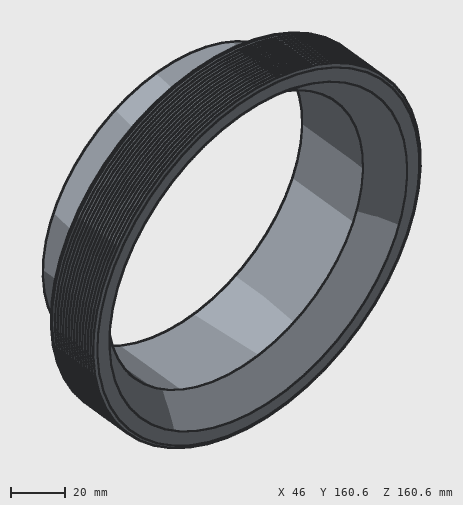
import cadquery as cq

length = 46.0
outer_radius = 80.3

bore_radius = 62.5
collar_radius = 64.5
collar_length = 18.0
collar_chamfer = 0.6

rim_start = 20.9
rim_edge_radius = 78.9
rim_lead_in = 1.1
rim_end_chamfer = 0.8

flare_length = 12.5
flare_depth = 10.5
flare_radius = bore_radius + flare_depth

thread_pitch = 1.5
thread_depth = 0.92
groove_count = 15
sleeve_clearance = 1.6
thread_length = groove_count * thread_pitch
thread_start = length - rim_end_chamfer - thread_length


def make_body():
    """Revolve the plain ring, without thread grooves."""
    profile = [
        (0, bore_radius),
        (0, collar_radius),
        (collar_length, collar_radius),
        (collar_length + collar_chamfer, collar_radius + collar_chamfer),
        (rim_start, rim_edge_radius),
        (rim_start + rim_lead_in, outer_radius),
        (length - rim_end_chamfer, outer_radius),
        (length, rim_edge_radius),
        (length, flare_radius),
        (length - flare_length, bore_radius),
    ]
    return cq.Workplane("XZ").polyline(profile).close().revolve(360, (0, 0, 0), (1, 0, 0))


def make_thread_sleeve():
    """Revolve a sleeve whose toothed inner face removes all the grooves at once."""
    clear_radius = outer_radius + sleeve_clearance
    profile = [(thread_start, outer_radius)]
    for index in range(groove_count):
        groove_start = thread_start + index * thread_pitch
        profile.append((groove_start + thread_pitch / 2, outer_radius - thread_depth))
        profile.append((groove_start + thread_pitch, outer_radius))
    profile.append((thread_start + thread_length, clear_radius))
    profile.append((thread_start, clear_radius))
    return cq.Workplane("XZ").polyline(profile).close().revolve(360, (0, 0, 0), (1, 0, 0))


result = make_body().cut(make_thread_sleeve())